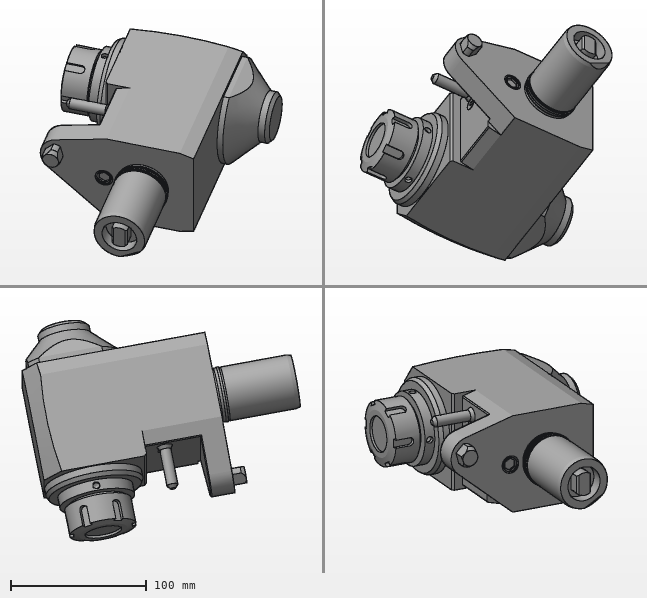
import cadquery as cq
import math


HALF_HEIGHT = 38.0
HOUSING_LEFT = -47.0
HOUSING_RIGHT = 39.0
HOUSING_BACK = 137.0
HEAD_FRONT = 59.8
HEAD_CORNER_CHAMFER = 1.8
SIDE_TAPER_X = 10.5
SIDE_TAPER_Z = 2.8
BACK_BEVEL_Y = 9.9
BACK_BEVEL_Z = 11.7
BACK_BEVEL_RADIUS = 358.4

SLOPE_START_X = -28.0
COLUMN_LEFT = -38.8
COLUMN_SLOPE = 15.0
LUG_SLOPE = 40.0
LUG_THICKNESS = 18.0
LUG_RADIUS = 15.8
COLUMN_SLOPE_TAN = math.tan(math.radians(COLUMN_SLOPE))
LUG_SLOPE_TAN = math.tan(math.radians(LUG_SLOPE))
TOP_OFFSET = LUG_RADIUS / math.cos(math.radians(COLUMN_SLOPE))
BOTTOM_OFFSET = LUG_RADIUS / math.cos(math.radians(LUG_SLOPE))
LUG_REACH = (2 * HALF_HEIGHT - TOP_OFFSET - BOTTOM_OFFSET) / (COLUMN_SLOPE_TAN + LUG_SLOPE_TAN)
LUG_CENTER_X = SLOPE_START_X - LUG_REACH
LUG_CENTER_Z = HALF_HEIGHT - LUG_REACH * COLUMN_SLOPE_TAN - TOP_OFFSET
UNDERCUT_DEPTH = 20.0
EDGE_BREAK = 0.8

SPINDLE_Y = 100.2
COLLAR_RADIUS = 36.5
COLLAR_FRONT = -55.2
COLLAR_CHAMFER_LENGTH = 3.2
COLLAR_CHAMFER_DEPTH = 1.8
RING_RADIUS = 28.1
RING_FRONT = -63.4
RING_HOLE_X = -59.4
RING_HOLE_RADIUS = 2.5
RING_HOLE_DEPTH = 3.0
RING_HOLE_POINT_LENGTH = 1.5
RING_HOLE_COUNT = 4
NECK_RADIUS = 21.5
NUT_RADIUS = 25.0
NUT_BACK = -65.7
NUT_FRONT = -87.5
NUT_CONE_LENGTH = 1.8
NUT_RIM_RADIUS = 24.2
NUT_FACE_RADIUS = 18.0
NUT_BORE_RADIUS = 13.7
NUT_BORE_DEPTH = 2.0
SLOT_COUNT = 6
SLOT_WIDTH = 6.3
SLOT_END_X = -71.0
SLOT_FLOOR_RADIUS = 22.0

COVER_RADIUS = 40.2
COVER_RIM_END = 43.4
COVER_CONE_END = 64.2
COVER_TIP_END = 72.0
COVER_TIP_RADIUS = 19.5
COVER_TIP_CHAMFER = 2.8
COVER_HALF_HEIGHT = 32.5
COVER_BACK_FLAT = 31.7
COVER_FLAT_TILT = 15.0

SHANK_RADIUS = 20.2
SHANK_LENGTH = 60.4
SHANK_END_RADIUS = 19.5
SHANK_END_TAPER = 3.2
GROOVE_RADIUS = 19.6
NECK_LENGTH = 2.4
SEAL_RADIUS = 20.5
SEAL_START = 4.5
SEAL_END = 6.3
GROOVE_END = 7.7
SHANK_BORE_RADIUS = 13.3
SHANK_BORE_DEPTH = 9.9
FLAT_DISTANCE = 17.0
FLAT_ANGLE = -60.0
FLAT_TILT = 45.0
TANG_END = 61.0
TANG_RADIUS = 9.0
TANG_WIDTH = 11.7
TANG_CHAMFER = 1.4

BOLT_X = -68.1
BOLT_Z = 15.0
BOLT_RADIUS = 8.1
BOLT_LENGTH = 9.9
BOLT_HALF_FLATS = 6.1
BOLT_FLAT_ANGLES = (15.0, -45.0)
BOLT_CHAMFER_LENGTH = 3.2
BOLT_CHAMFER_DEPTH = 2.0

PLUG_X = -29.9
PLUG_RADIUS = 6.7
PLUG_HEIGHT = 0.4
PLUG_RIM_RADIUS = 5.5
PLUG_RIM_DEPTH = 0.8
PLUG_SOCKET_DIAMETER = 9.5
PLUG_SOCKET_DEPTH = 2.4

PIN_Y = 45.0
PIN_Z = 25.3
PIN_RADIUS = 4.2
PIN_TIP_X = -71.7
PIN_TIP_RADIUS = 2.0
PIN_TIP_LENGTH = 2.5
PIN_FLANGE_RADIUS = 5.7
PIN_FLANGE_FRONT = -41.5
SCREW_Z = 15.5
SCREW_RADIUS = 5.1
SCREW_RECESS = 0.2
SCREW_SOCKET_DIAMETER = 4.0
SCREW_SOCKET_DEPTH = 3.0

LARGE = 198.0


def box(x0, x1, y0, y1, z0, z1):
    return cq.Workplane("XY").box(x1 - x0, y1 - y0, z1 - z0, centered=False).translate((x0, y0, z0))


def prism(points, y0, y1):
    """Closed polygon of (x, z) points extruded from y0 to y1."""
    plane = cq.Workplane(cq.Plane((0, y0, 0), xDir=(1, 0, 0), normal=(0, -1, 0)))
    return plane.polyline(points).close().extrude(y0 - y1)


def turned_x(profile, y, z):
    """Revolve (x, radius) points about the X-parallel axis through y, z."""
    points = [(profile[0][0], 0)] + profile + [(profile[-1][0], 0)]
    solid = cq.Workplane("XY").polyline(points).close().revolve(360, (0, 0, 0), (1, 0, 0))
    return solid.translate((0, y, z))


def turned_y(profile, x, z):
    """Revolve (depth, radius) points about the Y-parallel axis through x, z; depth runs to -Y."""
    points = [(0, -profile[0][0])] + [(r, -d) for d, r in profile] + [(0, -profile[-1][0])]
    solid = cq.Workplane("XY").polyline(points).close().revolve(360, (0, 0, 0), (0, 1, 0))
    return solid.translate((x, 0, z))


def back_bevel():
    """Cutter for the top back edge: a wide cylinder lying along the bevel slope."""
    middle_x = (HOUSING_LEFT + HOUSING_RIGHT) / 2
    slope = (0, -BACK_BEVEL_Y, BACK_BEVEL_Z)
    crest = (middle_x, HOUSING_BACK - BACK_BEVEL_Y, HALF_HEIGHT)
    plane = cq.Plane(crest, xDir=(1, 0, 0), normal=slope)
    half_width = HOUSING_RIGHT - HOUSING_LEFT
    sag = BACK_BEVEL_RADIUS - math.sqrt(BACK_BEVEL_RADIUS ** 2 - half_width ** 2)
    sketch = cq.Workplane(plane).moveTo(-half_width, -sag).threePointArc((0, 0), (half_width, -sag))
    sketch = sketch.lineTo(half_width, half_width).lineTo(-half_width, half_width).close()
    return sketch.extrude(half_width, both=True)


def make_housing():
    head = box(HOUSING_LEFT, HOUSING_RIGHT, HEAD_FRONT, HOUSING_BACK, -HALF_HEIGHT, HALF_HEIGHT)
    head = head.edges("|Z and <X and <Y").chamfer(HEAD_CORNER_CHAMFER)
    base = box(SLOPE_START_X, HOUSING_RIGHT, 0, HOUSING_BACK, -HALF_HEIGHT, HALF_HEIGHT)
    housing = head.union(base)
    bevel = back_bevel()
    taper = prism(
        [
            (HOUSING_RIGHT - SIDE_TAPER_X, HALF_HEIGHT),
            (HOUSING_RIGHT, HALF_HEIGHT),
            (HOUSING_RIGHT, HALF_HEIGHT - SIDE_TAPER_Z),
        ],
        0,
        HOUSING_BACK,
    )
    for cutter in (bevel, taper):
        housing = housing.cut(cutter).cut(cutter.mirror("XY"))
    return housing


def make_column():
    drop = (SLOPE_START_X - COLUMN_LEFT) * COLUMN_SLOPE_TAN
    edge_z = HALF_HEIGHT - drop
    column = prism(
        [
            (SLOPE_START_X, HALF_HEIGHT),
            (COLUMN_LEFT, edge_z),
            (COLUMN_LEFT, -edge_z),
            (SLOPE_START_X, -HALF_HEIGHT),
        ],
        0,
        HEAD_FRONT,
    )
    column = column.edges("|Y and <X").chamfer(EDGE_BREAK)
    undercut = prism(
        [
            (SLOPE_START_X, -HALF_HEIGHT),
            (LUG_CENTER_X, -HALF_HEIGHT + LUG_REACH * LUG_SLOPE_TAN),
            (LUG_CENTER_X, -HALF_HEIGHT),
        ],
        0,
        UNDERCUT_DEPTH,
    )
    return column.cut(undercut)


def make_lug():
    def rim(angle):
        a = math.radians(angle)
        return (LUG_CENTER_X + LUG_RADIUS * math.cos(a), LUG_CENTER_Z + LUG_RADIUS * math.sin(a))

    outline = cq.Workplane("XZ").moveTo(SLOPE_START_X, HALF_HEIGHT).lineTo(*rim(90 + COLUMN_SLOPE))
    outline = outline.threePointArc(rim(180), rim(270 - LUG_SLOPE))
    outline = outline.lineTo(SLOPE_START_X, -HALF_HEIGHT).close()
    return outline.extrude(-LUG_THICKNESS).faces(">Y").chamfer(EDGE_BREAK)


def nut_slots():
    """Wrench slots, open at the nut face and round at the inner end."""
    straight_end = SLOT_END_X - SLOT_WIDTH / 2
    half_width = SLOT_WIDTH / 2
    slot = box(NUT_FRONT, straight_end, -half_width, half_width, SLOT_FLOOR_RADIUS, NUT_RADIUS)
    end = cq.Workplane("XY").circle(half_width).extrude(NUT_RADIUS - SLOT_FLOOR_RADIUS)
    slot = slot.union(end.translate((straight_end, 0, SLOT_FLOOR_RADIUS)))
    slots = cq.Workplane("XY")
    for i in range(SLOT_COUNT):
        angle = 90 + i * 360 / SLOT_COUNT
        slots = slots.add(slot.rotate((0, 0, 0), (1, 0, 0), angle).translate((0, SPINDLE_Y, 0)))
    return slots.combine()


def make_spindle():
    nose = turned_x(
        [
            (NUT_FRONT, NUT_FACE_RADIUS),
            (NUT_FRONT + NUT_CONE_LENGTH, NUT_RIM_RADIUS),
            (NUT_FRONT + NUT_CONE_LENGTH, NUT_RADIUS),
            (NUT_BACK, NUT_RADIUS),
            (NUT_BACK, NECK_RADIUS),
            (RING_FRONT, NECK_RADIUS),
            (RING_FRONT, RING_RADIUS),
            (COLLAR_FRONT, RING_RADIUS),
            (COLLAR_FRONT, COLLAR_RADIUS - COLLAR_CHAMFER_DEPTH),
            (COLLAR_FRONT + COLLAR_CHAMFER_LENGTH, COLLAR_RADIUS),
            (HOUSING_LEFT, COLLAR_RADIUS),
        ],
        SPINDLE_Y,
        0,
    )
    bore = turned_x(
        [(NUT_FRONT, NUT_BORE_RADIUS), (NUT_FRONT + NUT_BORE_DEPTH, NUT_BORE_RADIUS)], SPINDLE_Y, 0
    )
    nose = nose.cut(bore).cut(nut_slots())
    hole_floor = RING_RADIUS - RING_HOLE_DEPTH
    half_profile = [
        (0, hole_floor - RING_HOLE_POINT_LENGTH),
        (RING_HOLE_RADIUS, hole_floor),
        (RING_HOLE_RADIUS, RING_RADIUS),
        (0, RING_RADIUS),
    ]
    hole = cq.Workplane("XZ").polyline(half_profile).close().revolve(360, (0, 0, 0), (0, 1, 0))
    hole = hole.translate((RING_HOLE_X, 0, 0))
    for i in range(RING_HOLE_COUNT):
        turned = hole.rotate((0, 0, 0), (1, 0, 0), i * 360 / RING_HOLE_COUNT)
        nose = nose.cut(turned.translate((0, SPINDLE_Y, 0)))
    return nose


def make_cover():
    cover = turned_x(
        [
            (HOUSING_RIGHT, COVER_RADIUS),
            (COVER_RIM_END, COVER_RADIUS),
            (COVER_CONE_END, COVER_TIP_RADIUS),
            (COVER_TIP_END - COVER_TIP_CHAMFER, COVER_TIP_RADIUS),
            (COVER_TIP_END, COVER_TIP_RADIUS - COVER_TIP_CHAMFER),
        ],
        SPINDLE_Y,
        0,
    )
    lean = (COVER_TIP_END - COVER_RIM_END) * math.tan(math.radians(COVER_FLAT_TILT))
    tip_half_height = COVER_HALF_HEIGHT - lean
    envelope = prism(
        [
            (HOUSING_RIGHT, -COVER_HALF_HEIGHT),
            (COVER_RIM_END, -COVER_HALF_HEIGHT),
            (COVER_TIP_END, -tip_half_height),
            (COVER_TIP_END, tip_half_height),
            (COVER_RIM_END, COVER_HALF_HEIGHT),
            (HOUSING_RIGHT, COVER_HALF_HEIGHT),
        ],
        SPINDLE_Y - COVER_RADIUS,
        SPINDLE_Y + COVER_BACK_FLAT,
    )
    return cover.intersect(envelope)


def make_shank():
    shank = turned_y(
        [
            (0, GROOVE_RADIUS),
            (NECK_LENGTH, GROOVE_RADIUS),
            (NECK_LENGTH, SHANK_RADIUS),
            (SEAL_START, SHANK_RADIUS),
            (SEAL_START, SEAL_RADIUS),
            (SEAL_END, SEAL_RADIUS),
            (SEAL_END, GROOVE_RADIUS),
            (GROOVE_END, GROOVE_RADIUS),
            (GROOVE_END, SHANK_RADIUS),
            (SHANK_LENGTH - SHANK_END_TAPER, SHANK_RADIUS),
            (SHANK_LENGTH, SHANK_END_RADIUS),
        ],
        0,
        0,
    )
    bore_floor = SHANK_LENGTH - SHANK_BORE_DEPTH
    bore = turned_y([(bore_floor, SHANK_BORE_RADIUS), (SHANK_LENGTH, SHANK_BORE_RADIUS)], 0, 0)
    flat = box(0, LARGE, -LARGE, LARGE, -LARGE, LARGE)
    flat = flat.rotate((0, 0, 0), (0, 0, 1), -FLAT_TILT)
    flat = flat.translate((FLAT_DISTANCE, -SHANK_LENGTH, 0)).rotate((0, 0, 0), (0, 1, 0), -FLAT_ANGLE)
    tang = turned_y([(bore_floor, TANG_RADIUS), (TANG_END, TANG_RADIUS)], 0, 0)
    blade = box(-TANG_WIDTH / 2, TANG_WIDTH / 2, -TANG_END, -bore_floor, -TANG_RADIUS, TANG_RADIUS)
    blade = blade.faces("<Y").edges("|Z").chamfer(TANG_CHAMFER)
    return shank.cut(flat).cut(bore).union(tang.intersect(blade))


def make_bolt():
    head = turned_y(
        [
            (0, BOLT_RADIUS),
            (BOLT_LENGTH - BOLT_CHAMFER_LENGTH, BOLT_RADIUS),
            (BOLT_LENGTH, BOLT_RADIUS - BOLT_CHAMFER_DEPTH),
        ],
        0,
        0,
    )
    for angle in BOLT_FLAT_ANGLES:
        jaws = box(
            -BOLT_HALF_FLATS, BOLT_HALF_FLATS, -BOLT_LENGTH, 0, -2 * BOLT_RADIUS, 2 * BOLT_RADIUS
        )
        head = head.intersect(jaws.rotate((0, 0, 0), (0, 1, 0), -angle))
    return head.translate((BOLT_X, 0, BOLT_Z))


def make_pin():
    return turned_x(
        [
            (PIN_TIP_X, PIN_TIP_RADIUS),
            (PIN_TIP_X + PIN_TIP_LENGTH, PIN_RADIUS),
            (PIN_FLANGE_FRONT, PIN_RADIUS),
            (COLUMN_LEFT, PIN_FLANGE_RADIUS),
        ],
        PIN_Y,
        PIN_Z,
    )


def add_plug(body):
    body = body.union(turned_y([(0, PLUG_RADIUS), (PLUG_HEIGHT, PLUG_RADIUS)], PLUG_X, 0))
    face = cq.Workplane("XZ", origin=(PLUG_X, -PLUG_HEIGHT, 0))
    rim = face.circle(PLUG_RIM_RADIUS).extrude(-PLUG_RIM_DEPTH)
    turned_face = face.transformed(rotate=(0, 0, 30))
    socket = turned_face.polygon(6, PLUG_SOCKET_DIAMETER).extrude(-PLUG_SOCKET_DEPTH)
    return body.cut(rim).cut(socket)


def cut_set_screw(body):
    face = cq.Workplane("YZ", origin=(COLUMN_LEFT, PIN_Y, SCREW_Z))
    recess = face.circle(SCREW_RADIUS).extrude(SCREW_RECESS)
    socket = face.polygon(6, SCREW_SOCKET_DIAMETER).extrude(SCREW_SOCKET_DEPTH)
    return body.cut(recess).cut(socket)


body = make_housing().union(make_column()).union(make_lug())
body = cut_set_screw(add_plug(body))
for part in (make_spindle(), make_cover(), make_shank(), make_bolt(), make_pin()):
    body = body.union(part)

result = body